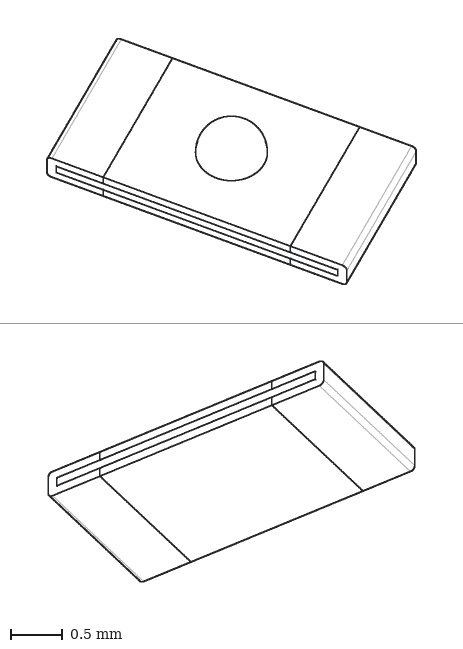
import cadquery as cq

length = 3.2
width = 1.6
thickness = 0.3

core_thickness = 0.1
end_wall = 0.1
core_length = length - 2 * end_wall
cover_thickness = (thickness - core_thickness) / 2
core_bottom = cover_thickness
core_top = core_bottom + core_thickness

terminal_length = 0.6
edge_radius = 0.05
cover_length = length - 2 * terminal_length

dome_radius = 0.35


def block(size_x, size_z, bottom):
    """Full-width block centred on the Z axis, with its underside at the given height."""
    return cq.Workplane("XY").workplane(offset=bottom).box(
        size_x, width, size_z, centered=(True, True, False)
    )


def make_core():
    return block(core_length, core_thickness, core_bottom)


def make_terminal(side):
    """C-shaped cap around one end of the core; side is -1 or +1 along X."""
    centre_x = side * (length - terminal_length) / 2
    outer_face = ">X" if side > 0 else "<X"
    cap = block(terminal_length, thickness, 0).translate((centre_x, 0, 0))
    cap = cap.faces(outer_face).edges("|Y").fillet(edge_radius)
    return cap.cut(make_core())


def make_bottom_cover():
    return block(cover_length, cover_thickness, 0)


def make_top_cover():
    """Flat cover with a hemispherical dome at its centre."""
    cover = block(cover_length, cover_thickness, core_top)
    dome = (
        cq.Workplane("XY")
        .workplane(offset=thickness)
        .sphere(dome_radius, angle1=0)
    )
    return cover.union(dome)


core = make_core()
terminals = [make_terminal(side) for side in (-1, 1)]
bottom_cover = make_bottom_cover()
top_cover = make_top_cover()

result = cq.Compound.makeCompound([
    core.val(),
    *[terminal.val() for terminal in terminals],
    bottom_cover.val(),
    top_cover.val(),
])